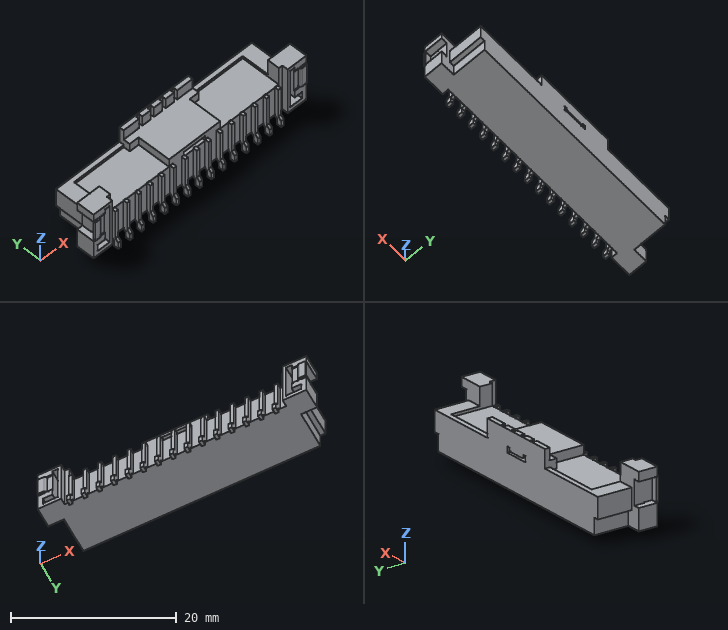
import cadquery as cq

LENGTH = 36.6

BODY_FRONT = -6.9
BODY_HALF = 16.85
BODY_TOP = 5.27
FOOT_HALF = 16.15
FOOT_TOP = 2.3
TRAY_FLOOR = 4.85
TRAY_REAR = -0.77

CENTRE_HALF = 4.4
SHOULDER_HALF = 5.93
SHOULDER_FRONT = -1.75
CENTRE_TOP = 6.2
BLOCK_TOP = 7.85
TAB_FRONT = -0.75
SLOT_REAR = -0.22
SLOT_WIDTH = 0.55
SLOT_COUNT = 4

WINDOW_HALF = 1.83
WINDOW_FLOOR = 4.72
WINDOW_ROOF = 5.53
RAMP_HALF = 1.43
RAMP_BOTTOM = 5.05
RAMP_LAND = 0.48
RAMP_CHAMFER = 0.15

BLOCK_OUTER = LENGTH / 2
BLOCK_INNER = 14.5
BLOCK_REAR = -5.05
BLOCK_FRONT = -7.85
CHEEK_INNER = 15.08

KEY_INNER = 15.52
KEY_OUTER = 16.3
KEY_TOP = 7.2
KEY_BOTTOM = 0.77
KEY_TOE_OUTER = 17.55
KEY_TOE_TOP = 1.85
KEY_DEPTH = 2.38

RECESS_BOTTOM = 3.07
RECESS_TOP = 6.5
RECESS_INNER = 17.4
CLIP_CLEARANCE = 0.09
CLIP_SHEET = 0.33
CLIP_OUTER = 18.23
CLIP_INNER = RECESS_INNER - CLIP_SHEET
CLIP_REAR = -6.55
CLIP_FRONT = -8.0
FLANGE_REAR = CLIP_FRONT + CLIP_SHEET

PIN_COUNT = 15
PIN_ROW = 28.0
PITCH = PIN_ROW / (PIN_COUNT - 1)
PIN_WIDTH = 0.48
PIN_TOP = 4.98
PIN_BOTTOM = -1.3
PIN_FACE = -7.55
PIN_FRONT = CLIP_FRONT
PIN_TAIL_REAR = -7.3
PIN_BEND_TOP = 0.22
PIN_REAR_BEND = BODY_FRONT - PIN_TAIL_REAR


def box(x0, x1, y0, y1, z0, z1):
    """Axis-aligned box between two opposite corners."""
    return cq.Workplane("XY").box(x1 - x0, y1 - y0, z1 - z0, centered=False).translate((x0, y0, z0))


def row(count):
    """X positions of a centred row at the pin pitch."""
    return [(i - (count - 1) / 2) * PITCH for i in range(count)]


def housing():
    body = box(-BODY_HALF, BODY_HALF, BODY_FRONT, 0, FOOT_TOP, BODY_TOP)
    body = body.union(box(-FOOT_HALF, FOOT_HALF, BODY_FRONT, 0, 0, FOOT_TOP))
    body = body.cut(box(-BLOCK_INNER, BLOCK_INNER, BODY_FRONT, TRAY_REAR, TRAY_FLOOR, BODY_TOP))
    body = body.union(box(-CENTRE_HALF, CENTRE_HALF, BODY_FRONT, 0, FOOT_TOP, CENTRE_TOP))
    return body.union(box(-SHOULDER_HALF, SHOULDER_HALF, SHOULDER_FRONT, 0, FOOT_TOP, CENTRE_TOP))


def slotted_tab():
    tab = box(-SHOULDER_HALF, SHOULDER_HALF, TAB_FRONT, 0, CENTRE_TOP, BLOCK_TOP)
    for x in row(SLOT_COUNT):
        slot_left = x - SLOT_WIDTH / 2
        tab = tab.cut(box(slot_left, slot_left + SLOT_WIDTH, TAB_FRONT, SLOT_REAR, CENTRE_TOP, BLOCK_TOP))
    return tab


def window():
    return box(-WINDOW_HALF, WINDOW_HALF, BODY_FRONT, 0, WINDOW_FLOOR, WINDOW_ROOF)


def ramp():
    """Wedge whose sloping face rises towards the rear at 45 degrees."""
    toe = -RAMP_LAND - (WINDOW_ROOF - RAMP_BOTTOM)
    profile = [(0, WINDOW_ROOF), (-RAMP_LAND, WINDOW_ROOF), (toe, RAMP_BOTTOM), (0, RAMP_BOTTOM)]
    wedge = cq.Workplane("YZ").polyline(profile).close().extrude(RAMP_HALF, both=True)
    bottom_sides = cq.selectors.BoxSelector(
        (-2 * RAMP_HALF, toe, RAMP_BOTTOM - RAMP_CHAMFER),
        (2 * RAMP_HALF, 0, RAMP_BOTTOM + RAMP_CHAMFER),
    )
    return wedge.edges("|Y").edges(bottom_sides).chamfer(RAMP_CHAMFER)


def keyway():
    outline = [
        (KEY_INNER, KEY_BOTTOM),
        (KEY_TOE_OUTER, KEY_BOTTOM),
        (KEY_TOE_OUTER, KEY_TOE_TOP),
        (KEY_OUTER, KEY_TOE_TOP),
        (KEY_OUTER, KEY_TOP),
        (KEY_INNER, KEY_TOP),
    ]
    plane = cq.Workplane("XZ", origin=(0, BLOCK_FRONT, 0))
    return plane.polyline(outline).close().extrude(-KEY_DEPTH)


def clip():
    """Sheet with a rounded bend: a leg along the recess wall and a flange at the block front."""
    height = RECESS_TOP - RECESS_BOTTOM - 2 * CLIP_CLEARANCE
    bend_mid = CLIP_SHEET * (1 - 0.5**0.5)
    return (
        cq.Workplane("XY", origin=(0, 0, RECESS_BOTTOM + CLIP_CLEARANCE))
        .moveTo(CLIP_INNER, CLIP_REAR)
        .lineTo(CLIP_INNER, FLANGE_REAR)
        .threePointArc((CLIP_INNER + bend_mid, CLIP_FRONT + bend_mid), (RECESS_INNER, CLIP_FRONT))
        .lineTo(CLIP_OUTER, CLIP_FRONT)
        .lineTo(CLIP_OUTER, FLANGE_REAR)
        .lineTo(RECESS_INNER, FLANGE_REAR)
        .lineTo(RECESS_INNER, CLIP_REAR)
        .close()
        .extrude(height)
    )


def end_block():
    """Block at the +X end."""
    block = box(BLOCK_INNER, BLOCK_OUTER, BODY_FRONT, BLOCK_REAR, 0, BLOCK_TOP)
    block = block.union(box(CHEEK_INNER, BLOCK_OUTER, BLOCK_FRONT, BLOCK_REAR, 0, BLOCK_TOP))
    block = block.cut(box(RECESS_INNER, BLOCK_OUTER, BLOCK_FRONT, BLOCK_REAR, RECESS_BOTTOM, RECESS_TOP))
    block = block.cut(box(CLIP_INNER, BLOCK_OUTER, BLOCK_FRONT, CLIP_REAR, RECESS_BOTTOM, RECESS_TOP))
    block = block.cut(box(KEY_OUTER, BLOCK_OUTER, BLOCK_FRONT, FLANGE_REAR, RECESS_BOTTOM, RECESS_TOP))
    return block.union(clip())


def pin(x):
    """Upright bar on the housing front, jogging forward at 45 degrees into the tail."""
    side = [
        (BODY_FRONT, PIN_TOP),
        (PIN_FACE, PIN_TOP),
        (PIN_FACE, PIN_BEND_TOP),
        (PIN_FRONT, PIN_BEND_TOP - (PIN_FACE - PIN_FRONT)),
        (PIN_FRONT, PIN_BOTTOM),
        (PIN_TAIL_REAR, PIN_BOTTOM),
        (PIN_TAIL_REAR, -PIN_REAR_BEND),
        (BODY_FRONT, 0),
    ]
    return cq.Workplane("YZ", origin=(x, 0, 0)).polyline(side).close().extrude(PIN_WIDTH / 2, both=True)


block_right = end_block()
block_left = block_right.mirror("YZ")

result = housing().union(slotted_tab()).cut(window()).union(ramp())
result = result.union(block_right).union(block_left)
result = result.cut(keyway()).cut(keyway().mirror("YZ"))
for pin_x in row(PIN_COUNT):
    result = result.union(pin(pin_x))